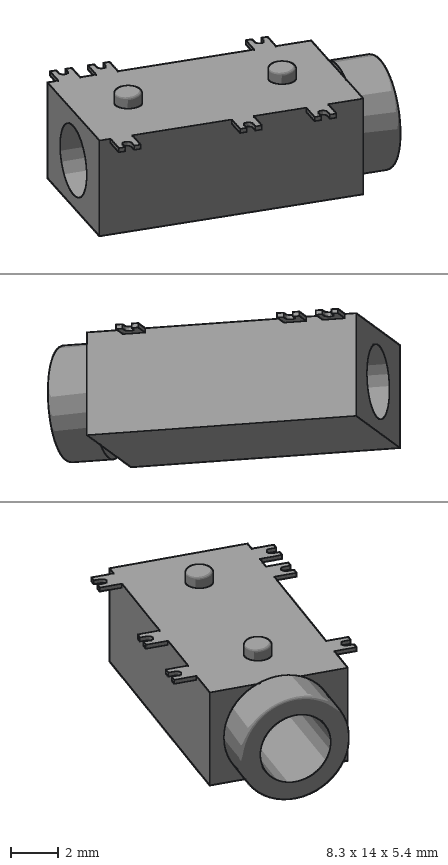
import cadquery as cq

total_length = 14.0
total_width = 8.3

body_width = 6.29
body_height = 4.5
collar_length = 2.0
collar_diameter = 5.0
collar_fillet = 0.2
bore_diameter = 3.2
axis_depth = 2.3
body_length = total_length - collar_length

peg_diameter = 1.2
peg_height = 0.6
peg_fillet = 0.2
peg_positions = (2.49, 9.49)

tab_width = 1.0
tab_thickness = 0.2
slot_width = 0.4
slot_depth = 0.5
left_tab_positions = (1.0, 2.72, 9.9)
right_tab_positions = (1.0, 6.51, 9.9)


def cylinder_along_y(diameter, start, length):
    """Cylinder on the bore axis, running from start towards +Y."""
    plane = cq.Plane(origin=(0, start, -axis_depth), xDir=(1, 0, 0), normal=(0, 1, 0))
    return cq.Workplane(plane).circle(diameter / 2).extrude(length)


def make_peg(y):
    """Round peg with a rounded top edge."""
    peg = cq.Workplane("XY").center(0, y).circle(peg_diameter / 2).extrude(peg_height)
    return peg.faces(">Z").edges().fillet(peg_fillet)


def make_tab(side, y):
    """Tab on one side (-1 left, +1 right) with a round-bottomed slot in its outer end."""
    inner_x = side * body_width / 2
    tip_x = side * total_width / 2
    slot_radius = slot_width / 2
    arc_end_x = tip_x - side * (slot_depth - slot_radius)
    slot_bottom_x = tip_x - side * slot_depth
    return (
        cq.Workplane("XY", origin=(0, y, -tab_thickness))
        .moveTo(inner_x, -tab_width / 2)
        .lineTo(tip_x, -tab_width / 2)
        .lineTo(tip_x, -slot_radius)
        .lineTo(arc_end_x, -slot_radius)
        .threePointArc((slot_bottom_x, 0), (arc_end_x, slot_radius))
        .lineTo(tip_x, slot_radius)
        .lineTo(tip_x, tab_width / 2)
        .lineTo(inner_x, tab_width / 2)
        .close()
        .extrude(tab_thickness)
    )


body = cq.Workplane("XY").box(body_width, body_length, body_height, centered=(True, False, False))
body = body.translate((0, 0, -body_height))

collar = cylinder_along_y(collar_diameter, body_length, collar_length)
collar = collar.faces(">Y").edges().fillet(collar_fillet)

result = body.union(collar)
for peg_y in peg_positions:
    result = result.union(make_peg(peg_y))
for tab_y in left_tab_positions:
    result = result.union(make_tab(-1, tab_y))
for tab_y in right_tab_positions:
    result = result.union(make_tab(1, tab_y))

result = result.cut(cylinder_along_y(bore_diameter, 0, total_length))